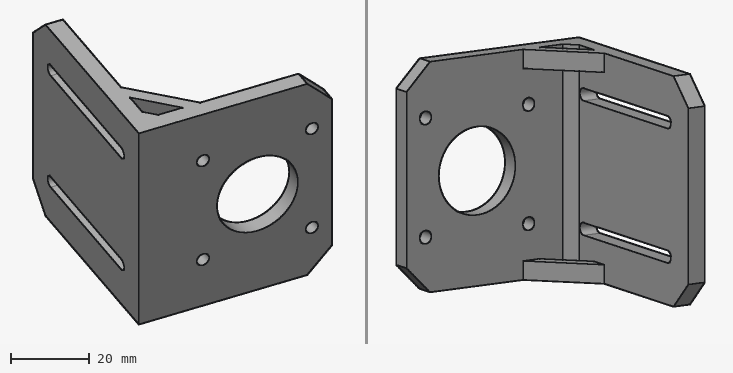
import cadquery as cq

length = 60.0
depth = 55.0
height = 60.0
plate = 5.0
corner_cut = 7.1
mid_z = height / 2

slot_length = 43.3
slot_width = 3.25
slot_spacing = 35.0

bore_diameter = 23.0
screw_diameter = 3.5
screw_spacing = 31.0
motor_y = 33.8

inner_chamfer = 3.0
brace_reach = 20.0
brace_inner_reach = 15.0
brace_height = 5.0

inner_x = length - plate


def corner_triangle(leg, bottom, tall):
    """Triangular prism filling the inside corner of the L."""
    return (
        cq.Workplane("XY", origin=(inner_x, plate, bottom))
        .polyline([(0, 0), (-leg, 0), (0, leg)])
        .close()
        .extrude(tall)
    )


def brace(bottom):
    """Diagonal strip joining the two plates."""
    outer = corner_triangle(brace_reach - plate, bottom, brace_height)
    inner = corner_triangle(brace_inner_reach - plate, bottom, brace_height)
    return outer.cut(inner)


slotted_plate = (
    cq.Workplane("XY")
    .box(length, plate, height, centered=False)
    .edges("|Y and <X")
    .chamfer(corner_cut)
)
motor_plate = (
    cq.Workplane("XY", origin=(inner_x, 0, 0))
    .box(plate, depth, height, centered=False)
    .edges("|X and >Y")
    .chamfer(corner_cut)
)
body = slotted_plate.union(motor_plate)

body = body.union(corner_triangle(inner_chamfer, 0, height))
for brace_bottom in (0, height - brace_height):
    body = body.union(brace(brace_bottom))

slots = (
    cq.Workplane("XZ", origin=(length / 2, 0, mid_z))
    .rarray(0.6, slot_spacing, 1, 2)
    .slot2D(slot_length, slot_width)
    .extrude(-plate)
)

motor_plane = cq.Workplane("YZ", origin=(inner_x, motor_y, mid_z))
bore = motor_plane.circle(bore_diameter / 2).extrude(plate)
screws = (
    motor_plane.rarray(screw_spacing, screw_spacing, 2, 2)
    .circle(screw_diameter / 2)
    .extrude(plate)
)

result = body.cut(slots).cut(bore).cut(screws)